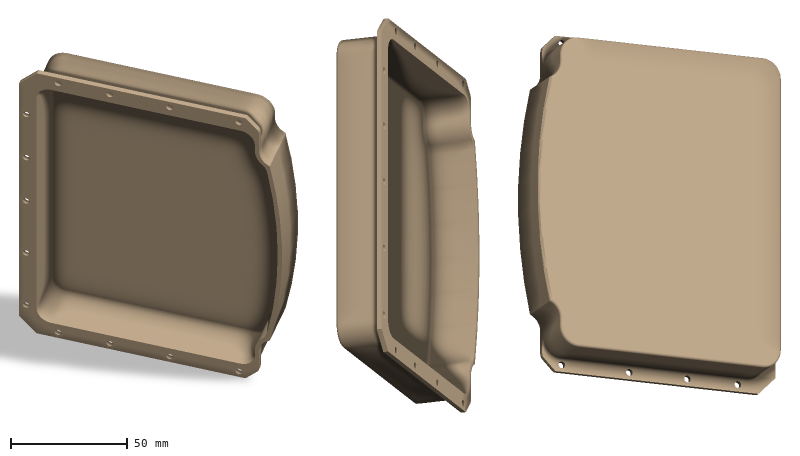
import cadquery as cq

height = 150.0
width = 118.8
depth = 23.2

flange_width = 108.5
flange_thickness = 2.2
left_chamfer = 8.0
right_chamfer = 6.2
right_chamfer_blend = 3.0

body_inset = 5.8
wall = 2.0
floor_thickness = 2.1
corner_radius = 8.5
outer_floor_fillet = 1.0
inner_floor_fillet = 1.2
flange_fillet = 1.0

bulge_neck_half_height = 57.5
bulge_edge_half_height = 50.2
bulge_edge_x = 113.2
bulge_inner_fillet = 6.0
neck_run = bulge_edge_x - flange_width
neck_drop = bulge_neck_half_height - bulge_edge_half_height
bulge_neck_radius = (neck_run**2 + neck_drop**2) / (2 * neck_run)

hole_diameter = 3.0
hole_inset = 3.2
end_row_x = [17.5, 41.0, 68.0, 99.3]
left_row_z = [-60.0, -30.0, 0.0, 25.0, 50.0]

selection_margin = 0.2

body_half_height = height / 2 - body_inset


def rim_plane():
    """Plane parallel to XZ through the open rim, with local X, Y along X, Z."""
    return cq.Workplane("XZ")


def make_flange_blank():
    """Solid plate with chamfered corners, deep enough to hold the body fillet."""
    half = height / 2
    outline = [
        (0, -half + left_chamfer),
        (left_chamfer, -half),
        (flange_width - right_chamfer, -half),
        (flange_width, -half + right_chamfer),
        (flange_width, half - right_chamfer),
        (flange_width - right_chamfer, half),
        (left_chamfer, half),
        (0, half - left_chamfer),
    ]
    plate = rim_plane().polyline(outline).close().extrude(-depth)
    blended_edges = cq.selectors.BoxSelector(
        (flange_width - selection_margin, 0, -half), (flange_width + selection_margin, depth, half)
    )
    return plate.edges("|Y").edges(blended_edges).fillet(right_chamfer_blend)


def make_flange():
    """Flange with a fillet up to the rounded box, trimmed to its outline."""
    box_width = flange_width - body_inset
    box_center = body_inset + box_width / 2
    box = (
        rim_plane()
        .center(box_center, 0)
        .rect(box_width, 2 * body_half_height)
        .extrude(-depth / 2)
        .edges("|Y")
        .fillet(corner_radius)
    )
    base = rim_plane().center(box_center, 0).rect(2 * width, 2 * height).extrude(-flange_thickness)
    foot = cq.selectors.BoxSelector(
        (0, flange_thickness - selection_margin, -body_half_height - selection_margin),
        (width, flange_thickness + selection_margin, body_half_height + selection_margin),
        boundingbox=False,
    )
    filleted = base.union(box).edges(foot).fillet(flange_fillet)
    return filleted.intersect(make_flange_blank())


def body_outline():
    """Closed outline of the pan body, including the bulge."""
    left = body_inset
    r = corner_radius
    h = body_half_height
    return (
        rim_plane()
        .moveTo(left, -h + r)
        .radiusArc((left + r, -h), -r)
        .lineTo(flange_width - r, -h)
        .radiusArc((flange_width, -h + r), -r)
        .lineTo(flange_width, -bulge_neck_half_height)
        .radiusArc((bulge_edge_x, -bulge_edge_half_height), bulge_neck_radius)
        .threePointArc((width, 0), (bulge_edge_x, bulge_edge_half_height))
        .radiusArc((flange_width, bulge_neck_half_height), bulge_neck_radius)
        .lineTo(flange_width, h - r)
        .radiusArc((flange_width - r, h), -r)
        .lineTo(left + r, h)
        .radiusArc((left, h - r), -r)
        .close()
    )


def make_body():
    return body_outline().extrude(-depth).faces(">Y").edges().fillet(outer_floor_fillet)


def make_cavity():
    cavity = body_outline().offset2D(-wall).extrude(-(depth - floor_thickness))
    bulge_corners = cq.selectors.BoxSelector(
        (flange_width + wall, 0, -bulge_neck_half_height),
        (width, depth, bulge_neck_half_height),
    )
    cavity = cavity.edges("|Y").edges(bulge_corners).fillet(bulge_inner_fillet)
    return cavity.faces(">Y").edges().fillet(inner_floor_fillet)


def make_holes():
    end_z = height / 2 - hole_inset
    points = [(x, side * end_z) for x in end_row_x for side in (-1, 1)]
    points += [(hole_inset, z) for z in left_row_z]
    return rim_plane().pushPoints(points).circle(hole_diameter / 2).extrude(-flange_thickness)


result = make_flange().union(make_body()).cut(make_cavity()).cut(make_holes())